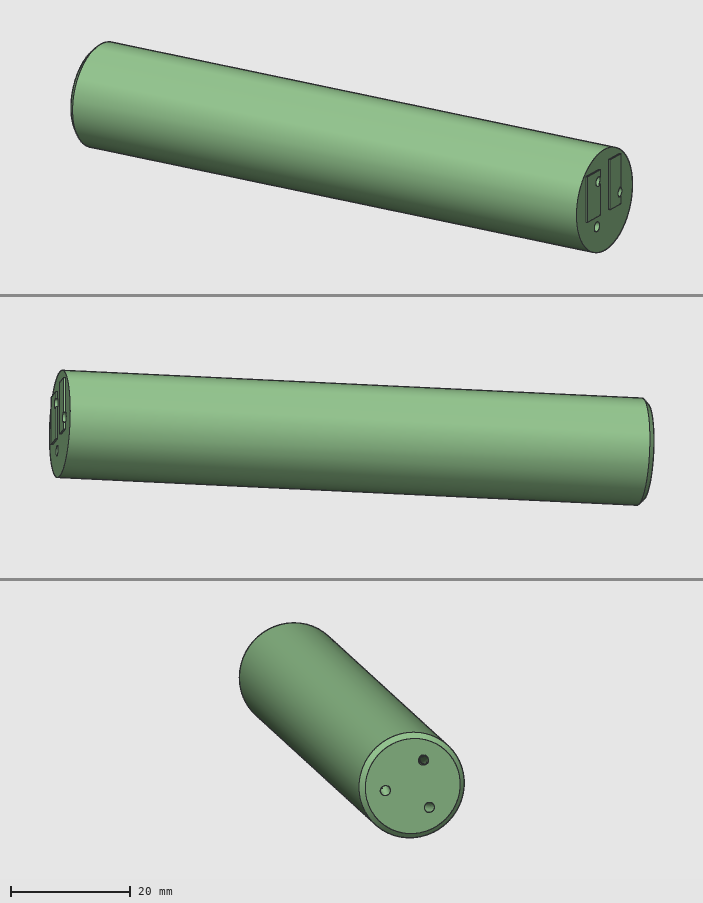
import cadquery as cq
import math

overall_length = 100.0
rod_diameter = 18.0
chamfer = 0.9

pad_height = 0.3
pad_bottom = -2.1
pads = [
    (1.3, 4.8, 6.8),
    (-6.0, -1.8, 6.0),
]

duct_count = 3
duct_diameter = 1.7
duct_radius = 4.7
first_duct_angle = -7.3
helix_angle = 30.0

rod_length = overall_length - pad_height
helix_pitch = math.pi * rod_diameter / math.tan(math.radians(helix_angle))
twist_angle = 360.0 * overall_length / helix_pitch


def make_rod():
    rod = cq.Workplane("YZ").circle(rod_diameter / 2).extrude(rod_length)
    return rod.faces("<X").chamfer(chamfer)


def make_duct(angle):
    """Right-hand helical duct running the full length of the rod and through the pads."""
    y = duct_radius * math.cos(math.radians(angle))
    z = duct_radius * math.sin(math.radians(angle))
    section = cq.Workplane("YZ").center(y, z).circle(duct_diameter / 2)
    return section.center(-y, -z).twistExtrude(overall_length, twist_angle)


def make_pad(y_low, y_high, z_high):
    size = (pad_height, y_high - y_low, z_high - pad_bottom)
    corner = (rod_length, y_low, pad_bottom)
    return cq.Workplane("XY").box(*size, centered=False).translate(corner)


result = make_rod()
for pad in pads:
    result = result.union(make_pad(*pad))
for i in range(duct_count):
    result = result.cut(make_duct(first_duct_angle + i * 360.0 / duct_count))